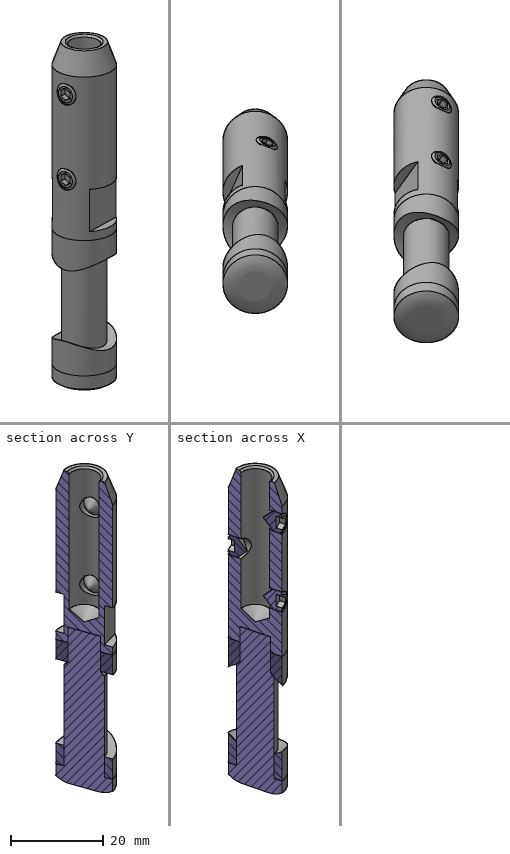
import cadquery as cq
import math

total_length = 80.2
body_radius = 7.02

rod_radius = 5.0
shank_radius = 4.0
crown_height = 1.2
crown_flat_radius = 3.6
head_top_z = 4.3
shoulder_z = 30.2
shank_engagement = 4.0

saddle_radius = 11.5
lower_saddle_z = 9.55
upper_saddle_z = 31.1

housing_base_z = 36.25
nose_length = 5.4
nose_tip_radius = 5.05
bore_radius = 3.6
bore_depth = 35.3
bore_chamfer = 0.5
drill_point_angle = 118.0
flat_offset = 5.0
flat_base_z = 38.3
flat_length = 9.95

screw_radius = 2.5
screw_tip_offset = 2.0
screw_chamfer_width = 0.65
screw_chamfer_depth = 0.4
socket_across_flats = 2.5
socket_depth = 1.5
middle_screw_z = 60.15
screw_pitch = 10.0
screw_places = [
    (middle_screw_z + screw_pitch, -1),
    (middle_screw_z, 1),
    (middle_screw_z - screw_pitch, -1),
]


def cylinder(radius, base_z, top_z):
    return cq.Workplane("XY").workplane(offset=base_z).circle(radius).extrude(top_z - base_z)


def make_bolt():
    """Crowned head, rod and stepped-down shank, revolved about Z."""
    taper_top_z = shoulder_z + rod_radius - shank_radius
    shank_top_z = housing_base_z + shank_engagement
    return (
        cq.Workplane("XZ")
        .moveTo(0, 0)
        .lineTo(crown_flat_radius, 0)
        .tangentArcPoint((body_radius, crown_height), relative=False)
        .lineTo(body_radius, head_top_z)
        .lineTo(rod_radius, head_top_z)
        .lineTo(rod_radius, shoulder_z)
        .lineTo(shank_radius, taper_top_z)
        .lineTo(shank_radius, shank_top_z)
        .lineTo(0, shank_top_z)
        .close()
        .revolve(360, (0, 0, 0), (0, 1, 0))
    )


def make_collar(base_z, top_z, saddle_axis_z, bolt):
    """Ring around the bolt with one end hollowed by a cylinder along X."""
    saddle = (
        cq.Workplane("YZ")
        .center(0, saddle_axis_z)
        .circle(saddle_radius)
        .extrude(2 * body_radius, both=True)
    )
    return cylinder(body_radius, base_z, top_z).cut(saddle).cut(bolt)


def make_screw(z, side):
    """Cone-point set screw with a hex socket, pointing at the axis from one Y side."""
    tip_base = screw_tip_offset + screw_radius
    screw = (
        cq.Workplane("XY")
        .moveTo(0, screw_tip_offset)
        .lineTo(screw_radius, tip_base)
        .lineTo(screw_radius, body_radius - screw_chamfer_depth)
        .lineTo(screw_radius - screw_chamfer_width, body_radius)
        .lineTo(0, body_radius)
        .close()
        .revolve(360, (0, 0, 0), (0, 1, 0))
    )
    socket = (
        cq.Workplane("XZ", origin=(0, body_radius, 0))
        .polygon(6, socket_across_flats, circumscribed=True)
        .extrude(socket_depth)
    )
    screw = screw.cut(socket)
    if side < 0:
        screw = screw.rotate((0, 0, 0), (0, 0, 1), 180)
    return screw.translate((0, 0, z))


def make_bore():
    """Blind drilled bore from the nose, with a chamfered mouth and a drill point."""
    mouth_radius = bore_radius + bore_chamfer
    floor_z = total_length - bore_depth
    point_length = bore_radius / math.tan(math.radians(drill_point_angle / 2))
    return (
        cq.Workplane("XZ")
        .moveTo(0, total_length)
        .lineTo(mouth_radius, total_length)
        .lineTo(bore_radius, total_length - bore_chamfer)
        .lineTo(bore_radius, floor_z)
        .lineTo(0, floor_z - point_length)
        .close()
        .revolve(360, (0, 0, 0), (0, 1, 0))
    )


def make_housing(bolt):
    """Tapered socket with a bore, two wrench flats and three radial screw holes."""
    nose_base_z = total_length - nose_length
    housing = (
        cq.Workplane("XZ")
        .moveTo(0, housing_base_z)
        .lineTo(body_radius, housing_base_z)
        .lineTo(body_radius, nose_base_z)
        .lineTo(nose_tip_radius, total_length)
        .lineTo(0, total_length)
        .close()
        .revolve(360, (0, 0, 0), (0, 1, 0))
    )
    housing = housing.cut(make_bore()).cut(bolt)
    for side in (-1, 1):
        flat = cq.Workplane("XY").box(body_radius, 2 * body_radius, flat_length).translate(
            (side * (flat_offset + body_radius / 2), 0, flat_base_z + flat_length / 2)
        )
        housing = housing.cut(flat)
    for z, side in screw_places:
        hole = cq.Workplane("XZ").center(0, z).circle(screw_radius).extrude(-side * 2 * body_radius)
        housing = housing.cut(hole)
    return housing


bolt = make_bolt()
lower_axis_z = lower_saddle_z + saddle_radius
upper_axis_z = upper_saddle_z - saddle_radius
lower_collar = make_collar(head_top_z, lower_axis_z, lower_axis_z, bolt)
upper_collar = make_collar(upper_axis_z, housing_base_z, upper_axis_z, bolt)
housing = make_housing(bolt)
screws = [make_screw(z, side) for z, side in screw_places]

result = cq.Compound.makeCompound(
    [
        bolt.val(),
        lower_collar.val(),
        upper_collar.val(),
        housing.val(),
        *[screw.val() for screw in screws],
    ]
)